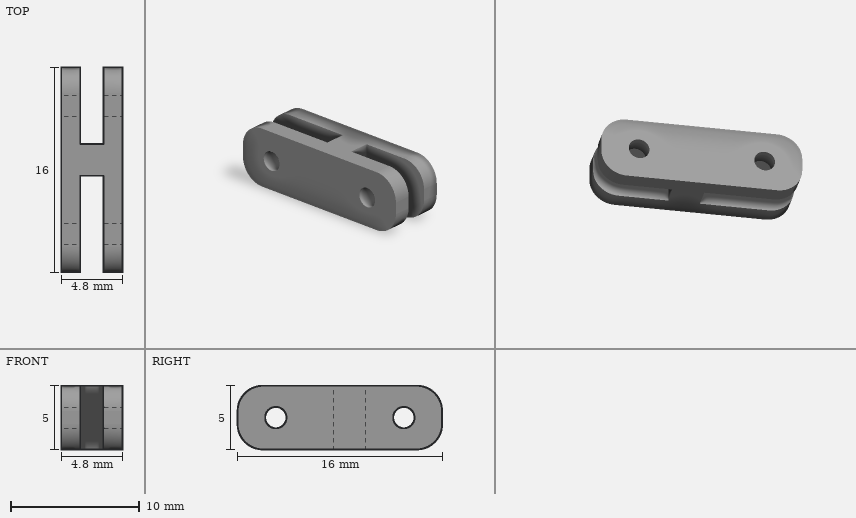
import cadquery as cq

width = 4.8
length = 16.0
height = 5.0
corner_radius = 2.0

cheek_thickness = 1.5
slot_width = width - 2 * cheek_thickness
front_slot_depth = 7.5
back_slot_depth = 6.0

pin_diameter = 1.65
pin_end_distance = 3.0
pin_y = length / 2 - pin_end_distance


def link_body():
    """Bar along Y with its four end edges rounded."""
    bar = cq.Workplane("XY").box(width, length, height)
    return bar.edges("|X").fillet(corner_radius)


def end_slot(end, depth):
    """Full-height slot cut inward from the -Y (end = -1) or +Y (end = 1) face."""
    center_y = end * (length - depth) / 2
    return cq.Workplane("XY").box(slot_width, depth, height).translate((0, center_y, 0))


def pin_hole(y):
    """Pin hole running along X through both cheeks."""
    hole = cq.Workplane("YZ").circle(pin_diameter / 2).extrude(width / 2, both=True)
    return hole.translate((0, y, 0))


result = link_body()
result = result.cut(end_slot(-1, front_slot_depth))
result = result.cut(end_slot(1, back_slot_depth))
for y in (-pin_y, pin_y):
    result = result.cut(pin_hole(y))